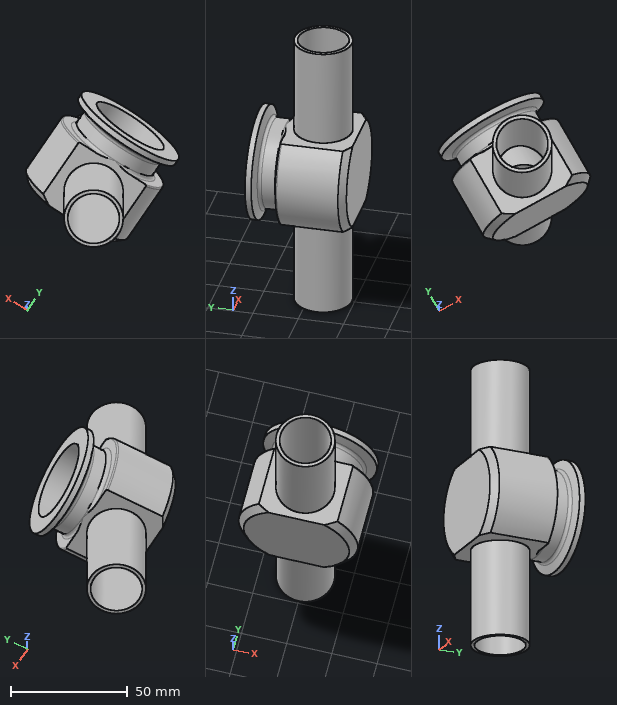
import cadquery as cq
import math

PIPE_LENGTH = 127.0
PIPE_DIAMETER = 25.4
PIPE_BORE_DIAMETER = 22.1

BODY_RADIUS = 52.8 / 2
BODY_FRONT = -15.9
BODY_BACK = 15.0
FRONT_CHAMFER = 3.0
BACK_ROUND = 0.6

NECK_RADIUS = 39.8 / 2
FLAT_HEIGHT = NECK_RADIUS
NECK_FILLET = 1.7
FLANGE_RADIUS = 50.4 / 2
FLANGE_BACK = 28.6
RIM_THICKNESS = 2.8
FLANGE_TAPER_ANGLE = 20.0

ACCESS_BORE_DIAMETER = 34.7
ACCESS_BORE_BOTTOM = 0.6


def make_turned_profile():
    """Half outline of body, neck and flange, beside the Y axis."""
    taper = math.radians(FLANGE_TAPER_ANGLE)
    rim_front = FLANGE_BACK - RIM_THICKNESS
    taper_start = rim_front - (FLANGE_RADIUS - NECK_RADIUS) * math.tan(taper)

    turn = math.pi / 2 - taper
    tangent = NECK_FILLET * math.tan(turn / 2)
    fillet_end = (
        NECK_RADIUS + tangent * math.cos(taper),
        taper_start + tangent * math.sin(taper),
    )
    return (
        cq.Workplane("XY")
        .moveTo(0, BODY_FRONT)
        .lineTo(BODY_RADIUS - FRONT_CHAMFER, BODY_FRONT)
        .lineTo(BODY_RADIUS, BODY_FRONT + FRONT_CHAMFER)
        .lineTo(BODY_RADIUS, BODY_BACK - BACK_ROUND)
        .radiusArc((BODY_RADIUS - BACK_ROUND, BODY_BACK), -BACK_ROUND)
        .lineTo(NECK_RADIUS + NECK_FILLET, BODY_BACK)
        .radiusArc((NECK_RADIUS, BODY_BACK + NECK_FILLET), NECK_FILLET)
        .lineTo(NECK_RADIUS, taper_start - tangent)
        .radiusArc(fillet_end, NECK_FILLET)
        .lineTo(FLANGE_RADIUS, rim_front)
        .lineTo(FLANGE_RADIUS, FLANGE_BACK)
        .lineTo(0, FLANGE_BACK)
        .close()
    )


def make_body():
    """Turned body with a flat above and below, ending where the neck fillet ends."""
    body = make_turned_profile().revolve(360, (0, 0, 0), (0, 1, 0))
    width = 2 * BODY_RADIUS
    depth = BODY_BACK + NECK_FILLET - BODY_FRONT
    for side in (1, -1):
        waste = (
            cq.Workplane("XY")
            .box(width, depth, width, centered=(True, False, True))
            .translate((0, BODY_FRONT, side * (FLAT_HEIGHT + width / 2)))
        )
        body = body.cut(waste)
    return body


def pipe_cylinder(diameter):
    """Full-length cylinder along the Z axis."""
    return cq.Workplane("XY").circle(diameter / 2).extrude(PIPE_LENGTH / 2, both=True)


def make_access_bore():
    """Flat-bottomed bore cylinder along the Y axis, open at the flange face."""
    return (
        cq.Workplane("XZ", origin=(0, FLANGE_BACK, 0))
        .circle(ACCESS_BORE_DIAMETER / 2)
        .extrude(FLANGE_BACK - ACCESS_BORE_BOTTOM)
    )


result = (
    make_body()
    .union(pipe_cylinder(PIPE_DIAMETER))
    .cut(pipe_cylinder(PIPE_BORE_DIAMETER))
    .cut(make_access_bore())
)